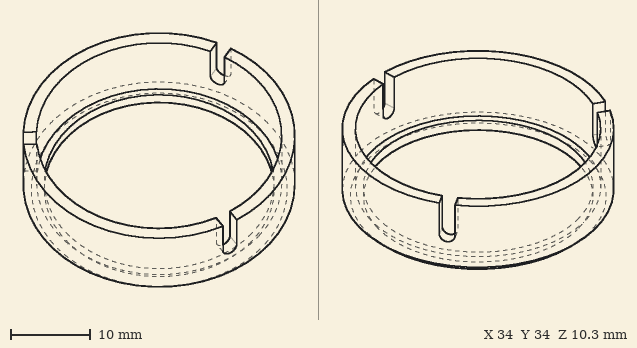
import cadquery as cq

outer_diameter = 34.0
height = 10.3
bottom_chamfer = 1.0

bore_diameter = 30.7
lip_diameter = 28.75
lip_height = 1.5

slot_count = 3
slot_width = 2.0
slot_depth = 5.7
first_slot_angle = 90.0


def ring_body():
    """Chamfered cylinder with a stepped through bore."""
    body = cq.Workplane("XY").circle(outer_diameter / 2).extrude(height)
    body = body.faces("<Z").edges().chamfer(bottom_chamfer)
    lip_bore = cq.Workplane("XY").circle(lip_diameter / 2).extrude(height)
    main_bore = (
        cq.Workplane("XY")
        .workplane(offset=lip_height)
        .circle(bore_diameter / 2)
        .extrude(height - lip_height)
    )
    return body.cut(lip_bore).cut(main_bore)


def slot_cutter(angle):
    """Radial cutter running from the axis outward at the given angle from +X."""
    half_width = slot_width / 2
    slot_bottom = height - slot_depth
    arc_start = slot_bottom + half_width
    cutter = (
        cq.Workplane("YZ")
        .moveTo(-half_width, height)
        .lineTo(-half_width, arc_start)
        .threePointArc((0, slot_bottom), (half_width, arc_start))
        .lineTo(half_width, height)
        .close()
        .extrude(outer_diameter)
    )
    return cutter.rotate((0, 0, 0), (0, 0, 1), angle)


result = ring_body()
for index in range(slot_count):
    result = result.cut(slot_cutter(first_slot_angle + index * 360 / slot_count))